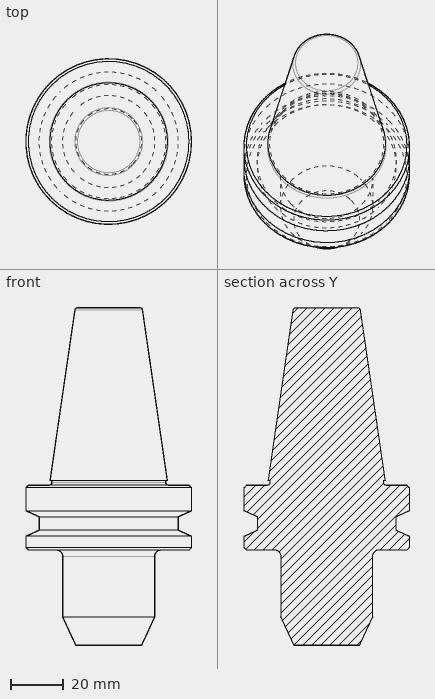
import cadquery as cq

total_height = 128.4
nose_cone_top = 10.8
flange_bottom = 36.2
flange_top = 61.0
taper_bottom = 62.7

nose_tip_diameter = 25.0
nose_diameter = 35.0
flange_diameter = 63.0
groove_diameter = 52.9
neck_diameter = 43.4
taper_bottom_diameter = 44.7

taper_ratio = 7 / 24
taper_end_diameter = taper_bottom_diameter - taper_ratio * (total_height - taper_bottom)

groove_center = 46.4
groove_floor_width = 5.0
groove_mouth_width = 9.6

flange_chamfer = 1.0
taper_end_rounding = 1.0
nose_fillet = 2.3
neck_fillet = 0.9


def cylinder(diameter, bottom, top):
    """Cylinder on the Z axis between two heights."""
    return cq.Workplane("XY").workplane(offset=bottom).circle(diameter / 2).extrude(top - bottom)


def cone(bottom_diameter, top_diameter, bottom, top):
    """Truncated cone on the Z axis between two heights."""
    solid = cq.Solid.makeCone(bottom_diameter / 2, top_diameter / 2, top - bottom, cq.Vector(0, 0, bottom))
    return cq.Workplane(obj=solid)


def flange_groove():
    """Ring with a trapezoidal section, removed from the flange rim."""
    floor_radius = groove_diameter / 2
    rim_radius = flange_diameter / 2
    half_floor = groove_floor_width / 2
    half_mouth = groove_mouth_width / 2
    section = [
        (floor_radius, groove_center - half_floor),
        (rim_radius, groove_center - half_mouth),
        (rim_radius, groove_center + half_mouth),
        (floor_radius, groove_center + half_floor),
    ]
    return cq.Workplane("XZ").polyline(section).close().revolve(360, (0, 0), (0, 1))


def circle_at(height, diameter):
    """Selector for the circular edges at one height and diameter."""
    tolerance = 0.06
    radius = diameter / 2 + tolerance
    outer_box = cq.selectors.BoxSelector(
        (-radius, -radius, height - tolerance), (radius, radius, height + tolerance), boundingbox=True
    )
    smaller_radius = diameter / 2 - tolerance
    inner_box = cq.selectors.BoxSelector(
        (-smaller_radius, -smaller_radius, height - tolerance),
        (smaller_radius, smaller_radius, height + tolerance),
        boundingbox=True,
    )
    return outer_box - inner_box


flange = cylinder(flange_diameter, flange_bottom, flange_top).faces("<Z or >Z").chamfer(flange_chamfer)
flange = flange.cut(flange_groove())

nose = cone(nose_tip_diameter, nose_diameter, 0, nose_cone_top)
nose = nose.union(cylinder(nose_diameter, nose_cone_top, flange_bottom))

shank = cone(taper_bottom_diameter, taper_end_diameter, taper_bottom, total_height)
shank = shank.faces(">Z").fillet(taper_end_rounding)
neck = cylinder(neck_diameter, flange_top, taper_bottom)

result = nose.union(flange).union(neck).union(shank)
result = result.edges(circle_at(flange_bottom, nose_diameter)).fillet(nose_fillet)
result = result.edges(circle_at(flange_top, neck_diameter)).fillet(neck_fillet)